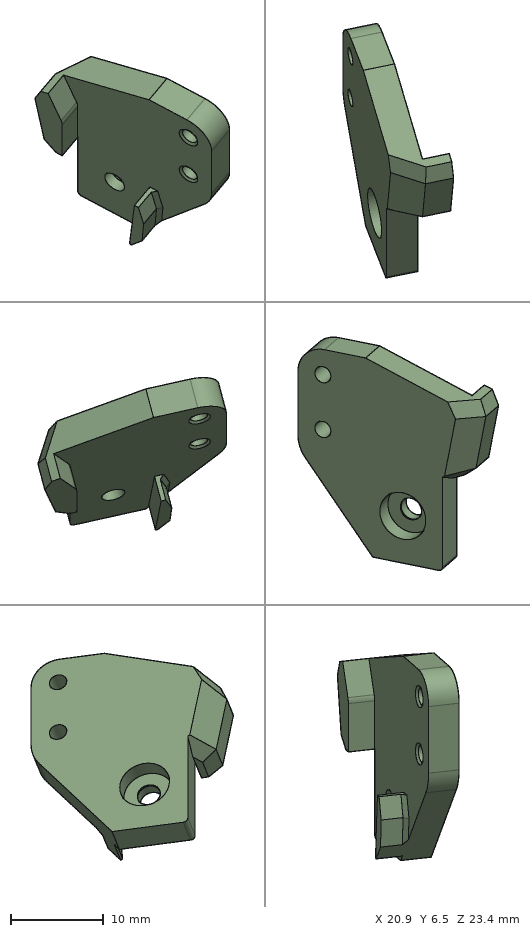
import cadquery as cq

PLATE_WIDTH = 17.35
PLATE_HEIGHT = 23.44
PLATE_THICKNESS = 3.5
TOP_EDGE_START = 9.24
TOP_SLOPE = 0.331
BOTTOM_EDGE_END = 8.38
DIAGONAL_SLOPE = 1.2586
TOP_CORNER_RADIUS = 3.2
DIAGONAL_CORNER_RADIUS = 4.0
BOTTOM_CORNER_RADIUS = 0.5

RAISED_HEIGHT = 3.0

EAR_TIP = (-3.55, 17.68)
EAR_SHOULDER_X = -2.79
EAR_LOWER_CORNER = (-2.36, 11.31)
EAR_BOTTOM_START = -0.8
EAR_BOTTOM_Z = 10.05
EAR_INNER_TOP_X = -1.83
EAR_INNER_BOTTOM_Z = 15.88
EAR_INNER_RADIUS = 1.5
EAR_BEVEL_FRONT_Y = 0.16
EAR_BEVEL_SHOULDER_Y = -0.13
EAR_BEVEL_RUN = 0.605

RIB_TOP_Z = 8.04
RIB_TOP_LEFT_X = 9.35
RIB_TOP_RIGHT_X = 9.87
RIB_KNEE = (10.54, 5.6)
RIB_LEFT_FOOT = (8.71, 0.84)
RIB_FOOT_Z = 0.68
RIB_RIGHT_LEAN = 0.063
RIB_FLARE = 0.5

PIN_HOLE_DIAMETER = 1.9
PIN_HOLE_RIM_DIAMETER = 2.4
PIN_HOLE_INSET = 3.0
PIN_HOLE_COUNT = 2
PIN_HOLE_SPACING = 6.5
SCREW_HOLE_DIAMETER = 2.55
SCREW_NECK_DIAMETER = 2.53
SCREW_NECK_LENGTH = 0.22
SCREW_HEAD_DIAMETER = 5.5
SCREW_HEAD_DEPTH = 2.0
SCREW_HOLE_CENTER = (4.78, 5.6)

CUT_SIZE = 40.0


def top_slope_z(x):
    """Height of the sloping top edge at x."""
    return PLATE_HEIGHT - TOP_SLOPE * (TOP_EDGE_START - x)


def diagonal_z(x):
    """Height of the diagonal edge at x."""
    return DIAGONAL_SLOPE * (x - BOTTOM_EDGE_END)


def diagonal_x(z):
    """X of the diagonal edge at height z."""
    return BOTTOM_EDGE_END + z / DIAGONAL_SLOPE


def prism(points, y_front, y_back):
    """Extrude an XZ outline from y_front to y_back."""
    outline = cq.Workplane("XZ", origin=(0, y_back, 0)).polyline(points).close()
    return outline.extrude(y_back - y_front)


def round_edge(body, x, z, radius):
    """Fillet the edge parallel to Y that passes through (x, z)."""
    nearest = cq.selectors.NearestToPointSelector((x, PLATE_THICKNESS / 2, z))
    return body.edges("|Y").edges(nearest).fillet(radius)


def cut_beyond(body, point, along_a, along_b):
    """Remove everything on the along_a x along_b side of a plane through point."""
    normal = cq.Vector(*along_a).cross(cq.Vector(*along_b))
    plane = cq.Plane(origin=point, xDir=along_a, normal=normal.toTuple())
    return body.cut(cq.Workplane(plane).rect(CUT_SIZE, CUT_SIZE).extrude(CUT_SIZE))


def make_plate():
    outline = [
        (0, 0),
        (BOTTOM_EDGE_END, 0),
        (PLATE_WIDTH, diagonal_z(PLATE_WIDTH)),
        (PLATE_WIDTH, PLATE_HEIGHT),
        (TOP_EDGE_START, PLATE_HEIGHT),
        (0, top_slope_z(0)),
    ]
    plate = prism(outline, 0, PLATE_THICKNESS)
    plate = round_edge(plate, 0, 0, BOTTOM_CORNER_RADIUS)
    plate = round_edge(plate, PLATE_WIDTH, PLATE_HEIGHT, TOP_CORNER_RADIUS)
    return round_edge(plate, PLATE_WIDTH, diagonal_z(PLATE_WIDTH), DIAGONAL_CORNER_RADIUS)


def make_ear():
    shoulder = (EAR_SHOULDER_X, top_slope_z(EAR_SHOULDER_X))
    left_side = [
        shoulder,
        EAR_TIP,
        EAR_LOWER_CORNER,
        (EAR_BOTTOM_START, EAR_BOTTOM_Z),
        (0, EAR_BOTTOM_Z),
    ]
    pad_inner = [(0, EAR_INNER_BOTTOM_Z), (EAR_INNER_TOP_X, top_slope_z(EAR_INNER_TOP_X))]
    pad = prism(left_side + pad_inner, -RAISED_HEIGHT, 0)
    pad = round_edge(pad, 0, EAR_INNER_BOTTOM_Z, EAR_INNER_RADIUS)
    root = prism(left_side + [(0, top_slope_z(0))], 0, PLATE_THICKNESS)
    ear = root.union(pad)

    tip = (EAR_TIP[0], EAR_BEVEL_FRONT_Y, EAR_TIP[1])
    lower = (EAR_LOWER_CORNER[0], EAR_BEVEL_FRONT_Y, EAR_LOWER_CORNER[1])
    shoulder_start = (shoulder[0], EAR_BEVEL_SHOULDER_Y, shoulder[1])
    bottom_start = (EAR_BOTTOM_START, EAR_BEVEL_SHOULDER_Y, EAR_BOTTOM_Z)
    backward = (EAR_BEVEL_RUN, 1, EAR_BEVEL_RUN * TOP_SLOPE)
    down_side = (cq.Vector(*lower) - cq.Vector(*tip)).toTuple()
    up_to_shoulder = (cq.Vector(*shoulder_start) - cq.Vector(*tip)).toTuple()
    down_to_bottom = (cq.Vector(*bottom_start) - cq.Vector(*lower)).toTuple()
    level_run = backward[0] - backward[2] * down_side[0] / down_side[2]
    level_backward = (level_run, 1, 0)
    ear = cut_beyond(ear, tip, backward, down_side)
    ear = cut_beyond(ear, tip, up_to_shoulder, backward)
    return cut_beyond(ear, lower, level_backward, down_to_bottom)


def rib_outline(right_offset):
    """Rib outline with its right side moved outward by right_offset."""
    knee_x = RIB_KNEE[0] + right_offset
    drop_to_diagonal = RIB_KNEE[1] - diagonal_z(knee_x)
    foot_x = knee_x - RIB_RIGHT_LEAN * drop_to_diagonal / (1 - RIB_RIGHT_LEAN * DIAGONAL_SLOPE)
    return [
        (RIB_TOP_LEFT_X, RIB_TOP_Z),
        (RIB_TOP_RIGHT_X + right_offset, RIB_TOP_Z),
        (knee_x, RIB_KNEE[1]),
        (foot_x, diagonal_z(foot_x)),
        (diagonal_x(RIB_FOOT_Z), RIB_FOOT_Z),
        RIB_LEFT_FOOT,
    ]


def make_rib():
    wall = prism(rib_outline(0), -RAISED_HEIGHT, 0)
    base = cq.Workplane("XZ").polyline(rib_outline(RIB_FLARE)).close()
    flare = base.workplane(offset=RIB_FLARE).polyline(rib_outline(0)).close().loft(ruled=True)
    return wall.union(flare)


def cylinder(center, diameter, y_front, y_back):
    """Round bar parallel to Y centred on an XZ point."""
    section = cq.Workplane("XZ", origin=(center[0], y_back, center[1])).circle(diameter / 2)
    return section.extrude(y_back - y_front)


def cut_pin_holes(body):
    """Column of through holes with a 45 degree countersink on the front face."""
    sink_depth = (PIN_HOLE_RIM_DIAMETER - PIN_HOLE_DIAMETER) / 2
    x = PLATE_WIDTH - PIN_HOLE_INSET
    for index in range(PIN_HOLE_COUNT):
        z = PLATE_HEIGHT - PIN_HOLE_INSET - index * PIN_HOLE_SPACING
        body = body.cut(cylinder((x, z), PIN_HOLE_DIAMETER, 0, PLATE_THICKNESS))
        rim = cq.Workplane("XZ", origin=(x, 0, z)).circle(PIN_HOLE_RIM_DIAMETER / 2)
        sink = rim.workplane(offset=-sink_depth).circle(PIN_HOLE_DIAMETER / 2).loft()
        body = body.cut(sink)
    return body


def cut_screw_hole(body):
    """Through hole with a tight neck and a screw head recess in the back face."""
    recess_floor = PLATE_THICKNESS - SCREW_HEAD_DEPTH
    neck_front = recess_floor - SCREW_NECK_LENGTH
    body = body.cut(cylinder(SCREW_HOLE_CENTER, SCREW_HOLE_DIAMETER, 0, neck_front))
    body = body.cut(cylinder(SCREW_HOLE_CENTER, SCREW_NECK_DIAMETER, neck_front, recess_floor))
    return body.cut(cylinder(SCREW_HOLE_CENTER, SCREW_HEAD_DIAMETER, recess_floor, PLATE_THICKNESS))


part = make_plate().union(make_ear()).union(make_rib())
result = cut_screw_hole(cut_pin_holes(part)).clean()